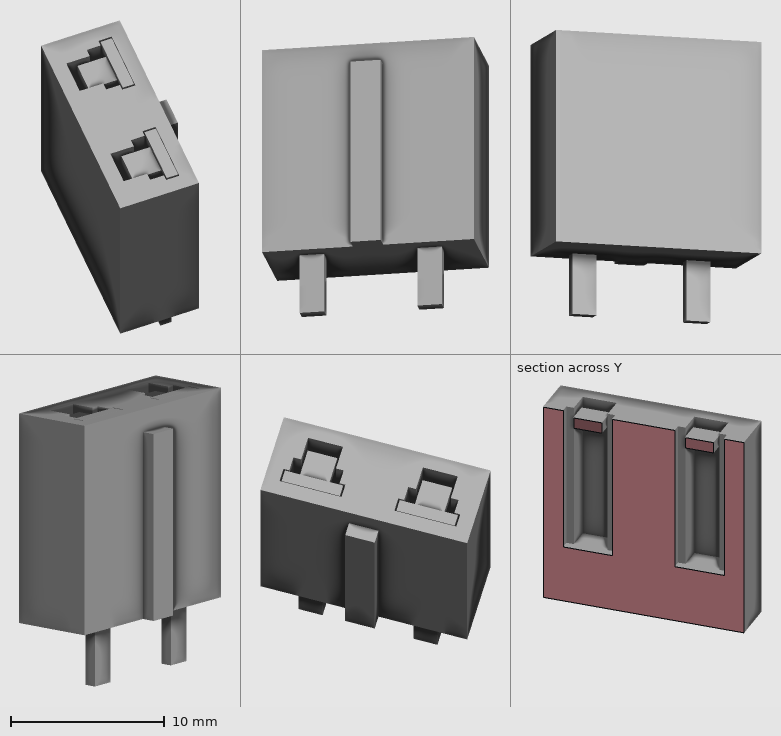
import cadquery as cq

HOUSING_WIDTH = 14.0
HOUSING_DEPTH = 5.5
HOUSING_HEIGHT = HOUSING_WIDTH

RIB_WIDTH = 2.0
RIB_DEPTH = 0.9
RIB_HEIGHT = 12.5

CONTACT_PITCH = 7.78
PLATE_WIDTH = 3.95
SHEET_THICKNESS = 0.8
TAB_WIDTH = 2.0
TAB_LENGTH = 2.0
TAB_DROP = 0.4
PIN_WIDTH = 1.62
PIN_LENGTH = 4.0

POCKET_DEPTH = 10.0
SLOT_WIDTH = 4.2
SLOT_DEPTH = 0.92
SLOT_BACK_WALL = 0.97
SLOT_BACK_GAP = 0.04
WIDE_STEP_WIDTH = 3.4
WIDE_STEP_DEPTH = 0.97
NARROW_STEP_WIDTH = 2.35
NARROW_STEP_DEPTH = 1.64

CONTACT_CENTRES = (-CONTACT_PITCH / 2, CONTACT_PITCH / 2)
POCKET_FLOOR = HOUSING_HEIGHT - POCKET_DEPTH
SLOT_BACK = HOUSING_DEPTH - SLOT_BACK_WALL
SLOT_FRONT = SLOT_BACK - SLOT_DEPTH
WIDE_STEP_FRONT = SLOT_FRONT - WIDE_STEP_DEPTH
NARROW_STEP_FRONT = WIDE_STEP_FRONT - NARROW_STEP_DEPTH
PLATE_BACK = SLOT_BACK - SLOT_BACK_GAP
PLATE_FRONT = PLATE_BACK - SHEET_THICKNESS
TAB_FRONT = PLATE_FRONT - TAB_LENGTH
TAB_TOP = HOUSING_HEIGHT - TAB_DROP


def block(x_centre, width, y_front, y_back, z_bottom, z_top):
    """Box centred in X on x_centre, between the given Y and Z limits."""
    size = (width, y_back - y_front, z_top - z_bottom)
    corner = (x_centre - width / 2, y_front, z_bottom)
    return cq.Workplane().box(*size, centered=False).translate(corner)


def make_pocket(x):
    """Space for one contact's plate and tab, stepping narrower toward the front."""
    steps = (
        (SLOT_WIDTH, SLOT_FRONT),
        (WIDE_STEP_WIDTH, WIDE_STEP_FRONT),
        (NARROW_STEP_WIDTH, NARROW_STEP_FRONT),
    )
    pocket = cq.Workplane()
    for width, front in steps:
        pocket = pocket.union(block(x, width, front, SLOT_BACK, POCKET_FLOOR, HOUSING_HEIGHT))
    return pocket


def make_pin(x):
    """Straight pin from the pocket floor down through the housing underside."""
    return block(x, PIN_WIDTH, PLATE_FRONT, PLATE_BACK, -PIN_LENGTH, POCKET_FLOOR)


def make_housing():
    """Block with a back rib, two stepped pockets and matching pin holes."""
    housing = block(0, HOUSING_WIDTH, 0, HOUSING_DEPTH, 0, HOUSING_HEIGHT)
    rib = block(0, RIB_WIDTH, HOUSING_DEPTH, HOUSING_DEPTH + RIB_DEPTH, 0, RIB_HEIGHT)
    housing = housing.union(rib)
    for x in CONTACT_CENTRES:
        housing = housing.cut(make_pocket(x)).cut(make_pin(x))
    return housing


def make_contact(x):
    """Plate flush with the housing top, carrying the forward tab and the pin."""
    plate = block(x, PLATE_WIDTH, PLATE_FRONT, PLATE_BACK, POCKET_FLOOR, HOUSING_HEIGHT)
    tab = block(x, TAB_WIDTH, TAB_FRONT, PLATE_FRONT, TAB_TOP - SHEET_THICKNESS, TAB_TOP)
    return plate.union(tab).union(make_pin(x))


housing = make_housing()
contacts = [make_contact(x).val() for x in CONTACT_CENTRES]
result = cq.Compound.makeCompound([housing.val(), *contacts])